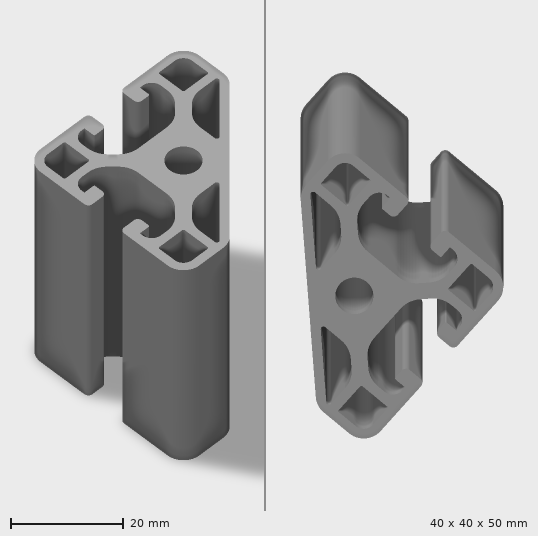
import cadquery as cq
import math


length = 50.0
width = 40.0
half_width = width / 2
outer_radius = 4.0
wall = 1.8
bore_diameter = 6.8

mouth_half = 4.0
lip_half = 7.0
lip_depth = 4.5
skin = 2.0
slot_half = 10.0
floor_distance = 7.8
web_thickness = 3.0
mouth_radius = 1.0
lip_radius = 1.0
lip_back_radius = 0.25
undercut_radius = 2.3
web_radius = 5.0

cell_radius = 0.3
tip_radius = 0.5

face_sum = (half_width - outer_radius - slot_half) + outer_radius * math.sqrt(2)
cell_face_sum = face_sum - wall * math.sqrt(2)

web_offset = web_thickness / math.sqrt(2)


def round_edge(body, x, y, radius):
    """Round the lengthwise edge that passes through (x, y)."""
    nearest = cq.selectors.NearestToPointSelector((x, y, 0))
    return body.edges("|Z").edges(nearest).fillet(radius)


def prism(corners):
    """Full-length prism from (x, y, corner radius) triples."""
    points = [(x, y) for x, y, radius in corners]
    body = cq.Workplane("XY").polyline(points).close().extrude(length / 2, both=True)
    for x, y, radius in corners:
        if radius > 0:
            body = round_edge(body, x, y, radius)
    return body


def swap(corners):
    """Mirror (x, y, corner radius) triples about the line y = x."""
    return [(y, x, radius) for x, y, radius in corners]


def corner_cell(x_side, y_side):
    """Square cell in one corner of the section, concentric with the outer round."""
    outer = half_width - wall
    inner = slot_half + wall
    return prism([
        (x_side * outer, y_side * outer, outer_radius - wall),
        (x_side * inner, y_side * outer, cell_radius),
        (x_side * inner, y_side * inner, cell_radius),
        (x_side * outer, y_side * inner, cell_radius),
    ])


envelope = [
    (-half_width, -half_width, outer_radius),
    (half_width, -half_width, outer_radius),
    (half_width, face_sum - half_width, outer_radius),
    (face_sum - half_width, half_width, outer_radius),
    (-half_width, half_width, outer_radius),
]

slot_side = [
    (mouth_half, -half_width, 0),
    (mouth_half, lip_depth - half_width, lip_radius),
    (lip_half, lip_depth - half_width, lip_back_radius),
    (lip_half, skin - half_width, 0),
    (slot_half, skin - half_width, undercut_radius),
    (slot_half, -slot_half - web_offset, web_radius),
    (floor_distance - web_offset, -floor_distance, web_radius),
]
slot = slot_side + [(-x, y, radius) for x, y, radius in reversed(slot_side)]

triangular_cell = [
    (-slot_half, cell_face_sum + slot_half, tip_radius),
    (-slot_half, slot_half + web_offset, web_radius),
    (web_offset - floor_distance, floor_distance, web_radius),
    (cell_face_sum - floor_distance, floor_distance, tip_radius),
]

result = prism(envelope)

for outline in (slot, triangular_cell):
    result = result.cut(prism(outline))
    result = result.cut(prism(swap(outline)))

for x_side, y_side in ((-1, -1), (1, -1), (-1, 1)):
    result = result.cut(corner_cell(x_side, y_side))

for mouth_edge in (-mouth_half, mouth_half):
    result = round_edge(result, mouth_edge, -half_width, mouth_radius)
    result = round_edge(result, -half_width, mouth_edge, mouth_radius)

bore = cq.Workplane("XY").circle(bore_diameter / 2).extrude(length / 2, both=True)
result = result.cut(bore)